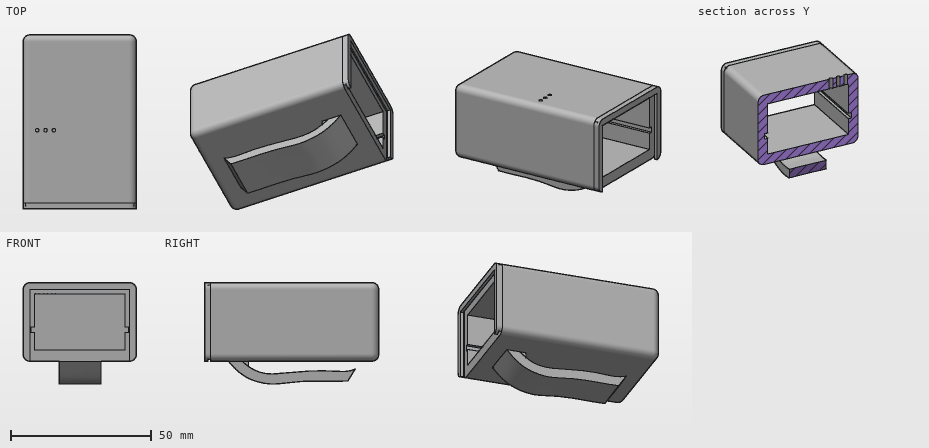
import cadquery as cq

width = 40.35
length = 62.0
height = 28.0
edge_radius = 2.5
wall = 4.0
half_width = width / 2

rail_depth = 2.2
lip_thickness = 1.1
lip_width = edge_radius
web_thickness = 0.85

board_groove_depth = 1.2
board_groove_height = 2.0
board_groove_bottom = 10.3

hole_diameter = 1.25
hole_count = 3
hole_pitch = 3.0
first_hole_inset = 5.0
hole_y = 28.0

clip_width = 15.0
clip_center_x = 0.1
clip_x_range = (clip_center_x - clip_width / 2, clip_center_x + clip_width / 2)
clip_root_front = 8.4
clip_root_back = 13.3
clip_lower_curve = [
    (12.0, -3.7), (15.05, -5.8), (19.35, -7.45), (24.05, -8.1),
    (29.25, -7.7), (35.3, -7.1), (41.7, -7.05), (50.95, -7.05),
]
clip_tip = (53.6, -2.7)
clip_upper_curve = [
    (49.9, -3.6), (44.3, -3.4), (37.45, -3.4), (31.4, -3.9),
    (24.05, -4.45), (19.6, -3.85), (15.55, -1.8), (clip_root_back, 0),
]
gusset_front = clip_root_back
gusset_back = 15.6
gusset_bottom = -2.5


def box_between(x_range, y_range, z_range):
    """Box spanning the given (low, high) ranges along X, Y and Z."""
    spans = [high - low for low, high in (x_range, y_range, z_range)]
    corner = (x_range[0], y_range[0], z_range[0])
    return cq.Workplane("XY").box(*spans, centered=False).translate(corner)


def make_envelope():
    """Full outer shape, rounded everywhere except at the front."""
    block = box_between((-half_width, half_width), (0, length), (0, height))
    return block.edges("|Y or >Y").fillet(edge_radius)


def make_front_zone():
    """Slab at the front of the case that the rail frame occupies."""
    return box_between((-half_width, half_width), (0, rail_depth), (0, height))


def make_clip():
    """Curved belt clip, constant across its width."""
    return (
        cq.Workplane("YZ", origin=(clip_x_range[0], 0, 0))
        .moveTo(clip_root_front, 0)
        .spline(clip_lower_curve, includeCurrent=True)
        .lineTo(*clip_tip)
        .spline(clip_upper_curve, includeCurrent=True)
        .close()
        .extrude(clip_width)
    )


def make_gusset():
    """Small wedge filling the corner between the clip root and the underside."""
    block = box_between(clip_x_range, (gusset_front, gusset_back), (gusset_bottom, 0))
    return block.cut(make_clip()).solids(">Z")


def make_housing():
    """Hollow case behind the rail frame, with board grooves and indicator holes."""
    inner_half_width = half_width - wall
    depth_range = (rail_depth, length - wall)
    cavity = box_between((-inner_half_width, inner_half_width), depth_range, (wall, height - wall))

    groove_half_width = inner_half_width + board_groove_depth
    board_grooves = box_between(
        (-groove_half_width, groove_half_width),
        depth_range,
        (board_groove_bottom, board_groove_bottom + board_groove_height),
    )

    hole_points = [
        (-half_width + first_hole_inset + i * hole_pitch, hole_y) for i in range(hole_count)
    ]
    indicator_holes = (
        cq.Workplane("XY", origin=(0, 0, height - wall))
        .pushPoints(hole_points)
        .circle(hole_diameter / 2)
        .extrude(wall)
    )

    return make_envelope().cut(make_front_zone()).cut(cavity).cut(board_grooves).cut(indicator_holes)


def make_frame_opening(border, y_range):
    """Cover opening with the given border on the sides and top, open at the bottom."""
    half_opening = half_width - border
    return box_between((-half_opening, half_opening), y_range, (0, height - border))


def make_rail_frame():
    """Three-sided frame: a front lip with a wider cover groove behind it."""
    lip_opening = make_frame_opening(lip_width, (0, lip_thickness))
    cover_groove = make_frame_opening(web_thickness, (lip_thickness, rail_depth))
    return make_envelope().intersect(make_front_zone()).cut(lip_opening).cut(cover_groove)


housing = make_housing()
rail_frame = make_rail_frame()
clip = make_clip()
gusset = make_gusset()

result = cq.Compound.makeCompound(
    [body.solids().val() for body in (housing, rail_frame, clip, gusset)]
)